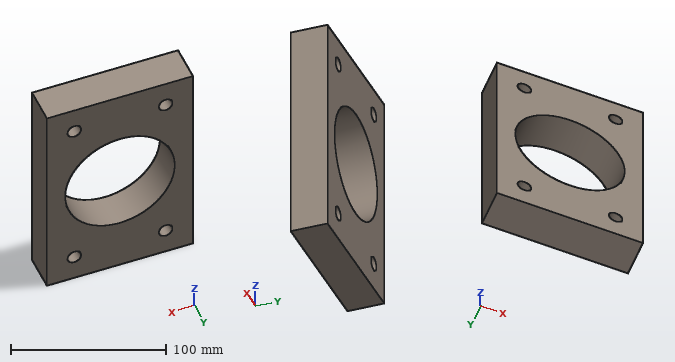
import cadquery as cq

width = 101.7
thickness = 25.5
height = 152.4

bore_diameter = 76.2
bolt_diameter = 9.5
bolt_spacing_x = 63.5
bolt_spacing_z = 114.3

plate = cq.Workplane("XY").box(width, thickness, height)

plate = plate.faces("<Y").workplane(origin=(0, 0, 0)).hole(bore_diameter)

result = (
    plate.faces("<Y")
    .workplane(origin=(0, 0, 0))
    .rect(bolt_spacing_x, bolt_spacing_z, forConstruction=True)
    .vertices()
    .hole(bolt_diameter)
)